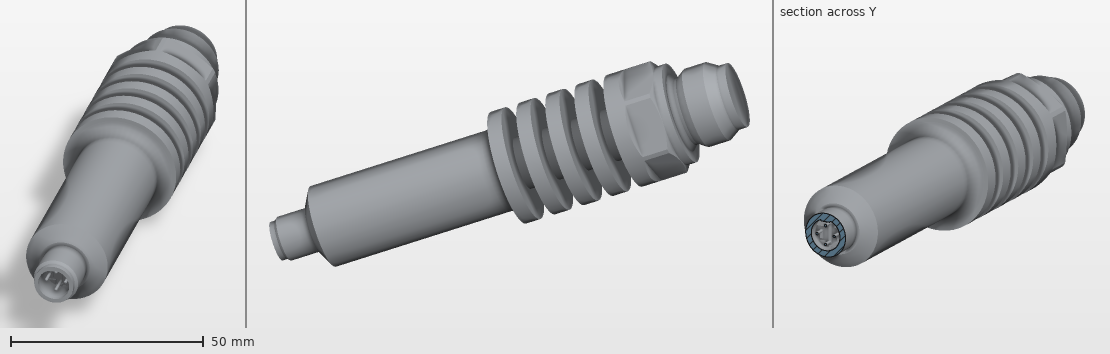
import cadquery as cq
import math

total_length = 128.5

plug_radius = 12.0 / 2
plug_tip_radius = 10.5 / 2
plug_chamfer_start = 1.4
plug_chamfer_end = 2.2

barrel_radius = 22.0 / 2
barrel_nose_radius = 13.8 / 2
nose_start = 10.5
nose_end = 13.0

fin_radius = 30.5 / 2
fin_core_radius = 14.0 / 2
fin_thickness = 4.0
fin_pitch = 8.1
fin_count = 4
fin_root_fillet = 3.1
flange_start = 97.0
fins_start = flange_start - fin_count * fin_pitch

hex_sides = 6
hex_across_flats = 27.0
flat_start = 102.3
flat_runout_angle = 60.0
cutter_overrun = 1.3
hex_end = 110.3
hex_chamfer_angle = 30.0
collar_radius = 26.9 / 2
collar_end = 112.7

relief_radius = 18.3 / 2
relief_flare_radius = 21.0 / 2
relief_start = collar_end + relief_flare_radius - relief_radius
relief_end = 114.9
thread_radius = 21.3 / 2
thread_start = 117.2
thread_end = 123.0
end_radius = 17.5 / 2
end_start = 126.1

socket_radius = 8.4 / 2
socket_depth = 7.7
pin_radius = 0.8 / 2
pin_tip_radius = 0.4 / 2
pin_circle_radius = 2.6
pin_count = 4
pin_tip_y = 1.9
pin_chamfer = pin_radius - pin_tip_radius

floor_relief_height = 0.6
channel_half_width = 1.4
upper_pad_z = 1.4
lower_pad_z = -2.6
rib_width = 2 * pin_radius
side_rib_drop = 1.5
lower_rib_top_z = -3.6
pad_step_height = 0.3
pad_step_corner = 2.2

key_start_y = 0.6
key_face_z = 3.6


def turned_body():
    """Revolve the outer profile, given as (radius, Y), around the Y axis."""
    hex_chamfer_length = (fin_radius - collar_radius) * math.tan(math.radians(hex_chamfer_angle))
    fillet_offset = fin_root_fillet * (1 - math.sqrt(0.5))
    profile = (
        cq.Workplane("XY")
        .moveTo(0, 0)
        .lineTo(plug_tip_radius, 0)
        .lineTo(plug_tip_radius, plug_chamfer_start)
        .lineTo(plug_radius, plug_chamfer_end)
        .lineTo(plug_radius, nose_start)
        .lineTo(barrel_nose_radius, nose_start)
        .lineTo(barrel_radius, nose_end)
        .lineTo(barrel_radius, fins_start - fin_root_fillet)
        .threePointArc(
            (barrel_radius + fillet_offset, fins_start - fillet_offset),
            (barrel_radius + fin_root_fillet, fins_start),
        )
    )
    for index in range(fin_count):
        fin_y = fins_start + index * fin_pitch
        profile = (
            profile.lineTo(fin_radius, fin_y)
            .lineTo(fin_radius, fin_y + fin_thickness)
            .lineTo(fin_core_radius, fin_y + fin_thickness)
            .lineTo(fin_core_radius, fin_y + fin_pitch)
        )
    profile = (
        profile.lineTo(fin_radius, flange_start)
        .lineTo(fin_radius, hex_end - hex_chamfer_length)
        .lineTo(collar_radius, hex_end)
        .lineTo(collar_radius, collar_end)
        .lineTo(relief_flare_radius, collar_end)
        .lineTo(relief_radius, relief_start)
        .lineTo(relief_radius, relief_end)
        .lineTo(thread_radius, thread_start)
        .lineTo(thread_radius, thread_end)
        .lineTo(end_radius, end_start)
        .lineTo(end_radius, total_length)
        .lineTo(0, total_length)
        .close()
    )
    return profile.revolve(360, (0, 0, 0), (0, 1, 0))


def hex_flat_cutter():
    """Block that mills one flat on the +X side, with a sloped run-out towards the flange."""
    flat_distance = hex_across_flats / 2
    cut_height = fin_radius - flat_distance + cutter_overrun
    runout = cut_height / math.tan(math.radians(flat_runout_angle))
    return (
        cq.Workplane("XY")
        .moveTo(flat_distance, flat_start)
        .lineTo(flat_distance + cut_height, flat_start - runout)
        .lineTo(flat_distance + cut_height, collar_end)
        .lineTo(flat_distance, collar_end)
        .close()
        .extrude(fin_radius, both=True)
    )


def contact_pins():
    """Round pins standing on the socket floor, chamfered at the tip."""
    pins = (
        cq.Workplane("XZ", origin=(0, socket_depth, 0))
        .polarArray(pin_circle_radius, 0, 360, pin_count)
        .circle(pin_radius)
        .extrude(socket_depth - pin_tip_y)
    )
    return pins.faces("<Y").chamfer(pin_chamfer)


def floor_block(x_min, x_max, z_min, z_max, height=floor_relief_height):
    """Rectangular block standing on the socket floor."""
    block = cq.Workplane("XY").box(x_max - x_min, height, z_max - z_min, centered=False)
    return block.translate((x_min, socket_depth - height, z_min))


def socket_disc(height):
    """Round slab that fills the socket from its floor up to the given height."""
    return cq.Workplane("XZ", origin=(0, socket_depth, 0)).circle(socket_radius).extrude(height)


def floor_pads():
    """Four corner pads around the cross-shaped channel; the upper +X pad carries a raised corner."""
    upright = floor_block(-channel_half_width, channel_half_width, -socket_radius, socket_radius)
    crossbar = floor_block(-socket_radius, socket_radius, lower_pad_z, upper_pad_z)
    pads = socket_disc(floor_relief_height).cut(upright).cut(crossbar)
    step_height = floor_relief_height + pad_step_height
    corner = floor_block(pad_step_corner, socket_radius, pad_step_corner, socket_radius, step_height)
    return pads.union(corner.intersect(socket_disc(step_height)))


def floor_ribs():
    """Ribs joining the upper and lower pins, below each side pin, and at the bottom wall."""
    half_width = rib_width / 2
    end_z = pin_circle_radius + half_width
    ribs = floor_block(-half_width, half_width, -end_z, end_z)
    ribs = ribs.union(floor_block(-half_width, half_width, -socket_radius, lower_rib_top_z))
    for side_x in (-pin_circle_radius, pin_circle_radius):
        rib_bottom_z = -half_width - side_rib_drop
        side_rib = floor_block(side_x - half_width, side_x + half_width, rib_bottom_z, half_width)
        ribs = ribs.union(side_rib)
    return ribs


def coding_key():
    """Ridge with a flat face that runs along the top of the socket wall."""
    key_length = socket_depth - key_start_y
    ridge = floor_block(-channel_half_width, channel_half_width, key_face_z, socket_radius, key_length)
    return ridge.intersect(socket_disc(key_length))


result = turned_body()

for index in range(hex_sides):
    result = result.cut(hex_flat_cutter().rotate((0, 0, 0), (0, 1, 0), index * 360 / hex_sides))

result = result.cut(socket_disc(socket_depth))

for socket_detail in (floor_pads(), floor_ribs(), contact_pins(), coding_key()):
    result = result.union(socket_detail)